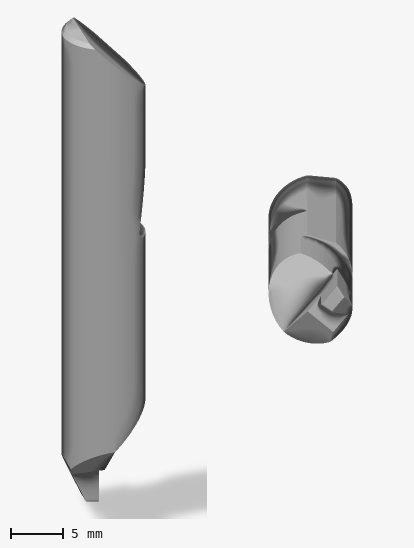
import cadquery as cq
import math


shank_diameter = 7.9375
radius = shank_diameter / 2
length = 50.8
top_chamfer = 0.38
clear = 2 * shank_diameter

top_bevel_low_z = 44.63

flat_start_y = 0.15
flat_end_y = 2.75

flank_width = 2.7
flank_bulge = 0.06

relief_bottom_z = 7.8
relief_top_z = 19.05
relief_half_width = 3.16
relief_depth = 0.68

notch_bottom_z = 29.3
notch_top_z = 37.7
notch_depth = 1.25
notch_corner_radius = 0.9

rake_top_z = 7.85
heel_z = 6.1
heel_toe_y = -1.15
tip_width = 2.42
tip_length = 4.3
tip_right_x = -radius + tip_width
shoulder_width = 1.96
clearance_angle = 5.0
clearance_slope = math.tan(math.radians(clearance_angle))
corner_radius = 0.2


def shank_edge_x(y):
    """X of the shank surface on the -X side at the given Y."""
    return -math.sqrt(radius**2 - y**2)


def prism_along_x(points):
    """Body with the given (Y, Z) outline, running right across the part."""
    return cq.Workplane("YZ").polyline(points).close().extrude(clear, both=True)


def shank():
    return cq.Workplane("XY").circle(radius).extrude(length).faces(">Z").chamfer(top_chamfer)


def top_bevel():
    end_z = top_bevel_low_z + clear
    return prism_along_x([(radius, top_bevel_low_z), (radius - clear, end_z), (radius, end_z)])


def long_flat():
    outline = [
        (shank_edge_x(flat_start_y), flat_start_y),
        (shank_edge_x(flat_end_y), flat_end_y),
        (-clear, flat_end_y),
        (-clear, flat_start_y),
    ]
    return cq.Workplane("XY").polyline(outline).close().extrude(length)


def tip_flank():
    end_x = shank_edge_x(flank_width)
    return (
        cq.Workplane("XY")
        .moveTo(-radius, 0)
        .sagittaArc((end_x, -flank_width), -flank_bulge)
        .lineTo(-clear, -flank_width)
        .lineTo(-clear, 0)
        .close()
        .extrude(relief_bottom_z)
    )


def relief():
    edge_x = shank_edge_x(relief_half_width)
    return (
        cq.Workplane("XY")
        .workplane(offset=relief_bottom_z)
        .moveTo(edge_x, -relief_half_width)
        .threePointArc((-radius + relief_depth, 0), (edge_x, relief_half_width))
        .lineTo(-clear, relief_half_width)
        .lineTo(-clear, -relief_half_width)
        .close()
        .extrude(relief_top_z - relief_bottom_z)
    )


def clamping_notch():
    floor_y = radius - notch_depth
    return (
        cq.Workplane("YZ")
        .moveTo(radius, notch_top_z)
        .lineTo(floor_y, notch_bottom_z + notch_corner_radius)
        .radiusArc((floor_y + notch_corner_radius, notch_bottom_z), -notch_corner_radius)
        .lineTo(radius, notch_bottom_z)
        .close()
        .extrude(clear, both=True)
    )


def rake_face():
    return prism_along_x([(0, 0), (0, rake_top_z), (radius, rake_top_z + radius), (radius, 0)])


def heel_bevel():
    return prism_along_x([(-radius, heel_z), (heel_toe_y, 0), (-radius, 0)])


def end_clearance():
    return prism_along_x([(0, 0), (-radius, radius * clearance_slope), (-radius, 0)])


def tip_side():
    """Space beside the tip; its wall leans so that the tip narrows behind the rake face."""
    outline = [
        (tip_right_x, 0),
        (tip_right_x - radius * clearance_slope, -radius),
        (radius, -radius),
        (radius, 0),
    ]
    block = cq.Workplane("XY").polyline(outline).close().extrude(tip_length)
    wall_top = (tip_right_x - radius * clearance_slope / 2, -radius / 2, tip_length)
    return block.edges(cq.selectors.NearestToPointSelector(wall_top)).fillet(corner_radius)


def nose_bevel():
    start_x = tip_right_x + shoulder_width
    outline = [
        (start_x, tip_length),
        (radius, tip_length + radius - start_x),
        (radius, tip_length),
    ]
    return cq.Workplane("XZ").polyline(outline).close().extrude(radius)


def round_tip_corners(body):
    """Round the two lower corners of the cutting edge, along the depth of the tip."""
    middle_y = heel_toe_y / 2
    for corner_x in (-radius, tip_right_x):
        nearest = cq.selectors.NearestToPointSelector((corner_x, middle_y, 0))
        body = body.edges(nearest).fillet(corner_radius)
    return body


result = shank()
cutters = (
    top_bevel,
    long_flat,
    tip_flank,
    relief,
    clamping_notch,
    rake_face,
    heel_bevel,
    end_clearance,
    tip_side,
    nose_bevel,
)
for cutter in cutters:
    result = result.cut(cutter())
result = round_tip_corners(result)